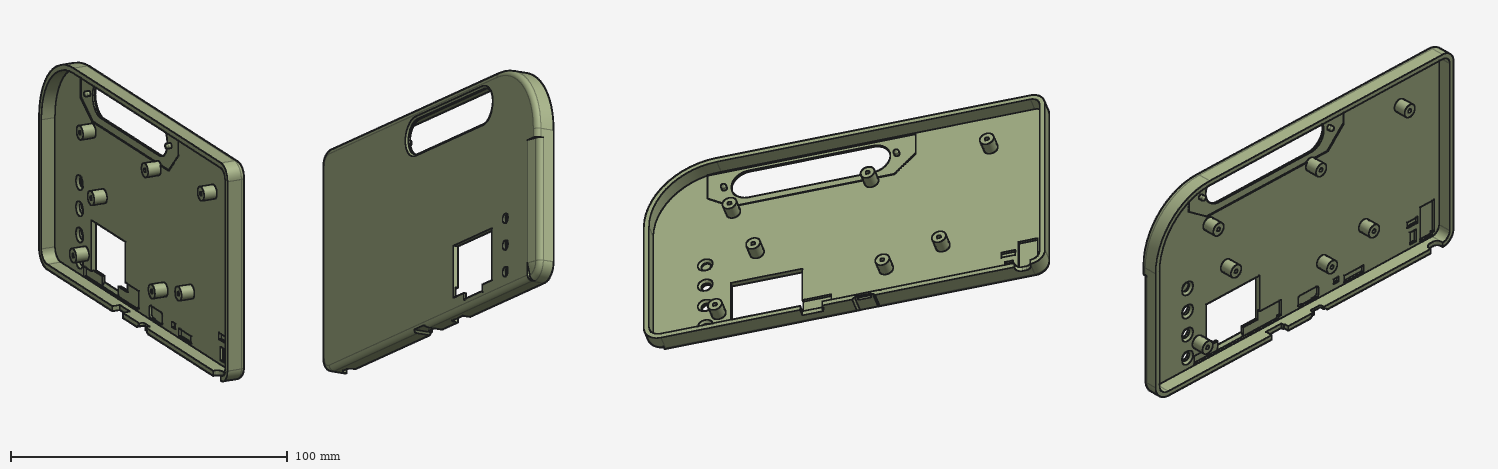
import cadquery as cq
import math

LENGTH = 151.06
HEIGHT = 83.37
DEPTH = 7.5
WALL = 2.0
FLOOR = 2.0
FLOOR_Y = DEPTH - FLOOR

BIG_CORNER_R = 27.5
LEFT_CORNER_R = 6.5
RIGHT_CORNER_R = 5.5

BACK_ROUND = 2.0
GRIP_TOP = 52.5
GRIP_DROP = 1.0
GRIP_SLOPE_WIDTH = 6.0

HANDLE_LEFT = 31.3
HANDLE_RIGHT = 91.1
HANDLE_BOTTOM = 66.5
HANDLE_TOP = 79.7
HANDLE_MID_X = (HANDLE_LEFT + HANDLE_RIGHT) / 2
HANDLE_MID_Z = (HANDLE_BOTTOM + HANDLE_TOP) / 2
HANDLE_RECESS_DEPTH = 0.4
HANDLE_BACK_CHAMFER = 0.8
HANDLE_RECESS = [
    (22.4, 81.1),
    (100.8, 81.1),
    (100.8, 71.5),
    (92.8, 63.3),
    (31.6, 63.3),
    (22.4, 69.6),
]
PIN_D = 2.0
PIN_LENGTH = 2.0
PIN_TIP_ROUND = 0.7
PIN_SPACING = 65.0

BOSS_D = 5.3
BOSS_HOLE_D = 1.5
BOSS_LENGTH = 5.2
BOSS_HOLE_DEPTH = 4.0
BOSS_CENTRES = [
    (32.2, 60.0),
    (84.2, 61.6),
    (129.1, 66.4),
    (41.1, 37.75),
    (111.05, 22.7),
    (89.75, 17.0),
    (26.7, 11.4),
]

BUTTON_X = 21.6
BUTTON_FIRST_Z = 6.9
BUTTON_PITCH = 10.0
BUTTON_COUNT = 4
BUTTON_HOLE_D = 3.6
BUTTON_MOUTH_D = 5.6
BUTTON_CONE_DEPTH = 1.0
BUTTON_BLIND_DEPTH = 1.5

WINDOW_LEFT = 31.1
WINDOW_RIGHT = 58.1
WINDOW_BOTTOM = 6.0
WINDOW_TOP = 25.5
RECESS_LEFT = 25.1
RECESS_RIGHT = 69.0
RECESS_BOTTOM = 2.2
RECESS_STEP_TOP = 10.0
RECESS_FOOT_RIGHT = 67.8
RECESS_FOOT_TOP = 3.3
POCKET_DEPTH = 1.0
CABLE_LEFT = 37.9
CABLE_RIGHT = 50.7
CABLE_SILL_RISE = 1.4

PARTS_POCKETS = [
    (95.7, 98.2, 4.4, 6.5),
    (101.1, 110.9, 2.6, 5.6),
    (133.0, 138.3, 11.3, 13.8),
    (134.4, 137.4, 3.6, 8.8),
]

SWITCH_LEFT = 58.9
SWITCH_RIGHT = 67.2
SWITCH_DEPTH = 3.0
SWITCH_LEDGE_WIDTH = 0.5
SWITCH_LEDGE_DEPTH = 2.0

USB_MID_X = 82.8
USB_POCKET_WIDTH = 10.4
USB_POCKET_BOTTOM = 2.6
USB_FOOT_BOTTOM = 2.2
USB_POCKET_TOP = 7.4
USB_POCKET_CORNER = 1.1
USB_NOTCH_WIDTH = 5.0
USB_NOTCH_DEPTH = 1.8
USB_NOTCH_CORNER = 0.3
USB_RELIEF_WIDTH = 8.6
USB_RELIEF_RISE = 0.9

JACK_LEFT = 139.5
JACK_POCKET_RIGHT = 146.7
JACK_POCKET_BOTTOM = 2.7
JACK_POCKET_TOP = 17.4
JACK_RIGHT = 145.5
JACK_STEP_Z = 3.7
JACK_DEPTH = 2.8
JACK_CORNER = 2.2


def plane(y):
    """Sketch plane at depth y: local x is X, local y is Z, normal is -Y."""
    return cq.Workplane("XZ", origin=(0, y, 0))


def block(left, right, bottom, top, front, back):
    size = (right - left, back - front, top - bottom)
    corner = (left, front, bottom)
    return cq.Workplane("XY").box(*size, centered=False).translate(corner)


def rounded_outline(inset, front, back):
    """Outline prism, moved inwards by inset, between two depths."""
    prism = block(inset, LENGTH - inset, inset, HEIGHT - inset, front, back)
    prism = prism.edges("|Y and <X and >Z").fillet(BIG_CORNER_R - inset)
    prism = prism.edges("|Y and <X and <Z").fillet(LEFT_CORNER_R - inset)
    return prism.edges("|Y and >X").fillet(RIGHT_CORNER_R - inset)


def make_shell():
    outline = rounded_outline(0, 0, DEPTH)
    grip_zone = block(0, GRIP_SLOPE_WIDTH, 0, GRIP_TOP, 0, DEPTH)
    body = outline.faces(">Y").edges().fillet(BACK_ROUND).cut(grip_zone)
    edge_y = DEPTH - GRIP_DROP
    grip = rounded_outline(0, 0, edge_y).faces(">Y").edges().fillet(BACK_ROUND)
    slope_angle = math.degrees(math.atan2(GRIP_SLOPE_WIDTH - BACK_ROUND, GRIP_DROP))
    crown = grip.faces(">Y").wires().toPending().workplane().extrude(GRIP_DROP, taper=slope_angle)
    grip = crown.intersect(grip_zone)
    cavity = rounded_outline(WALL, 0, FLOOR_Y)
    return body.union(grip).cut(cavity)


def handle_slot(margin):
    """Slot outline on the back face, grown outwards by margin."""
    length = HANDLE_RIGHT - HANDLE_LEFT + 2 * margin
    width = HANDLE_TOP - HANDLE_BOTTOM + 2 * margin
    return plane(DEPTH).center(HANDLE_MID_X, HANDLE_MID_Z).slot2D(length, width)


def cut_handle(shell):
    recess = plane(FLOOR_Y + HANDLE_RECESS_DEPTH).polyline(HANDLE_RECESS).close()
    opening = handle_slot(0).extrude(DEPTH)
    flare = handle_slot(HANDLE_BACK_CHAMFER).extrude(HANDLE_BACK_CHAMFER, taper=45)
    shell = shell.cut(recess.extrude(HANDLE_RECESS_DEPTH)).cut(opening).cut(flare)
    pins = plane(FLOOR_Y + HANDLE_RECESS_DEPTH).center(HANDLE_MID_X, HANDLE_MID_Z)
    pins = pins.rarray(PIN_SPACING, 1, 2, 1).circle(PIN_D / 2).extrude(PIN_LENGTH)
    pins = pins.faces("<Y").edges().fillet(PIN_TIP_ROUND)
    return shell.union(pins)


def add_bosses(shell):
    root_y = FLOOR_Y + HANDLE_RECESS_DEPTH
    tip_y = FLOOR_Y - BOSS_LENGTH
    bosses = plane(root_y).pushPoints(BOSS_CENTRES).circle(BOSS_D / 2).extrude(root_y - tip_y)
    holes = plane(tip_y).pushPoints(BOSS_CENTRES).circle(BOSS_HOLE_D / 2).extrude(-BOSS_HOLE_DEPTH)
    return shell.union(bosses).cut(holes)


def cut_buttons(shell):
    for index in range(BUTTON_COUNT):
        centre_z = BUTTON_FIRST_Z + index * BUTTON_PITCH
        is_top = index == BUTTON_COUNT - 1
        depth = BUTTON_BLIND_DEPTH if is_top else FLOOR
        bore = plane(FLOOR_Y).center(BUTTON_X, centre_z).circle(BUTTON_HOLE_D / 2).extrude(-depth)
        cone = plane(FLOOR_Y).center(BUTTON_X, centre_z).circle(BUTTON_MOUTH_D / 2)
        cone = cone.workplane(offset=-BUTTON_CONE_DEPTH).circle(BUTTON_HOLE_D / 2).loft()
        shell = shell.cut(bore).cut(cone)
    return shell


def cut_window(shell):
    pocket_y = FLOOR_Y + POCKET_DEPTH
    shell = shell.cut(block(WINDOW_LEFT, WINDOW_RIGHT, WINDOW_BOTTOM, WINDOW_TOP, 0, DEPTH))
    low = block(RECESS_LEFT, RECESS_FOOT_RIGHT, RECESS_BOTTOM, WINDOW_BOTTOM, FLOOR_Y, pocket_y)
    high = block(WINDOW_RIGHT, RECESS_RIGHT, RECESS_FOOT_TOP, RECESS_STEP_TOP, FLOOR_Y, pocket_y)
    cable = (
        cq.Workplane("YZ", origin=(CABLE_LEFT, 0, 0))
        .moveTo(pocket_y, RECESS_BOTTOM)
        .lineTo(DEPTH, RECESS_BOTTOM + CABLE_SILL_RISE)
        .lineTo(DEPTH, WINDOW_BOTTOM)
        .lineTo(pocket_y, WINDOW_BOTTOM)
        .close()
        .extrude(CABLE_RIGHT - CABLE_LEFT)
    )
    return shell.cut(low).cut(high).cut(cable)


def cut_parts_pockets(shell):
    for left, right, bottom, top in PARTS_POCKETS:
        shell = shell.cut(block(left, right, bottom, top, FLOOR_Y, FLOOR_Y + POCKET_DEPTH))
    return shell


def cut_switch(shell):
    ledge_x = SWITCH_RIGHT - SWITCH_LEDGE_WIDTH
    notch = block(SWITCH_LEFT, ledge_x, 0, WALL, 0, SWITCH_DEPTH)
    ledge = block(ledge_x, SWITCH_RIGHT, 0, WALL, 0, SWITCH_LEDGE_DEPTH)
    return shell.cut(notch).cut(ledge)


def cut_usb(shell):
    half_pocket = USB_POCKET_WIDTH / 2
    half_notch = USB_NOTCH_WIDTH / 2
    half_relief = USB_RELIEF_WIDTH / 2
    notch_left = USB_MID_X - half_notch
    notch_right = USB_MID_X + half_notch
    pocket_left = USB_MID_X - half_pocket
    pocket_right = USB_MID_X + half_pocket
    back = FLOOR_Y + POCKET_DEPTH
    pocket = block(pocket_left, pocket_right, USB_POCKET_BOTTOM, USB_POCKET_TOP, FLOOR_Y, back)
    pocket = pocket.edges("|Y").fillet(USB_POCKET_CORNER)
    foot = block(notch_left, notch_right, USB_FOOT_BOTTOM, USB_POCKET_BOTTOM, FLOOR_Y, back)
    notch = block(notch_left, notch_right, 0, WALL, 0, USB_NOTCH_DEPTH)
    notch = notch.edges("|Z and >Y").fillet(USB_NOTCH_CORNER)
    relief = (
        plane(DEPTH)
        .moveTo(USB_MID_X - half_relief, 0)
        .lineTo(USB_MID_X - half_relief + USB_RELIEF_RISE, USB_RELIEF_RISE)
        .lineTo(USB_MID_X + half_relief - USB_RELIEF_RISE, USB_RELIEF_RISE)
        .lineTo(USB_MID_X + half_relief, 0)
        .close()
        .extrude(DEPTH)
    )
    return shell.cut(pocket).cut(foot).cut(notch).cut(relief)


def cut_jack(shell):
    back = FLOOR_Y + POCKET_DEPTH
    pocket = block(JACK_LEFT, JACK_POCKET_RIGHT, JACK_STEP_Z, JACK_POCKET_TOP, FLOOR_Y, back)
    foot = block(JACK_LEFT, JACK_RIGHT, JACK_POCKET_BOTTOM, JACK_STEP_Z, FLOOR_Y, back)
    notch = block(JACK_LEFT, JACK_RIGHT, 0, WALL, 0, JACK_DEPTH)
    notch = notch.edges("|Z and >Y").fillet(JACK_CORNER)
    return shell.cut(pocket).cut(foot).cut(notch)


result = make_shell()
result = cut_handle(result)
result = cut_window(result)
result = cut_parts_pockets(result)
result = add_bosses(result)
result = cut_buttons(result)
result = cut_switch(result)
result = cut_usb(result)
result = cut_jack(result)